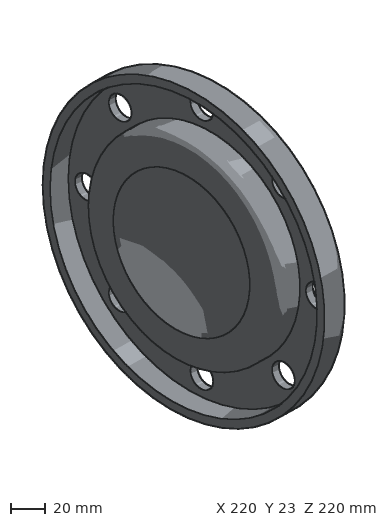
import cadquery as cq
import math

outer_radius = 110.0
rim_height = 21.3
rim_inner_radius = 104.0
back_fillet = 7.0
web_thickness = 6.0

boss_radius = 76.5
boss_height = 23.0
boss_fillet = 7.0

lip_radius = 53.2
dish_radius = 50.4
lip_depth = 1.0
dish_depth = 12.3

hole_count = 8
hole_diameter = 17.5
bolt_circle_radius = 90.0


def revolved_body():
    """Revolve the half section (radius, height above the back) about the Y axis."""
    dish_edge = boss_height - lip_depth
    dish_bottom = dish_edge - dish_depth
    sphere_radius = (dish_radius**2 + dish_depth**2) / (2 * dish_depth)
    half_angle = math.asin(dish_radius / sphere_radius) / 2
    arc_middle = (
        sphere_radius * math.sin(half_angle),
        dish_bottom + sphere_radius * (1 - math.cos(half_angle)),
    )
    profile = (
        cq.Workplane("XY")
        .lineTo(outer_radius - back_fillet, 0)
        .radiusArc((outer_radius, back_fillet), -back_fillet)
        .lineTo(outer_radius, rim_height)
        .lineTo(rim_inner_radius, rim_height)
        .lineTo(rim_inner_radius, web_thickness)
        .lineTo(boss_radius, web_thickness)
        .lineTo(boss_radius, boss_height - boss_fillet)
        .radiusArc((boss_radius - boss_fillet, boss_height), -boss_fillet)
        .lineTo(lip_radius, boss_height)
        .lineTo(dish_radius, dish_edge)
        .threePointArc(arc_middle, (0, dish_bottom))
        .close()
    )
    body = profile.revolve(360, (0, 0, 0), (0, 1, 0))
    return body.rotate((0, 0, 0), (0, 0, 1), 180)


def bolt_holes():
    """Cylinders evenly spaced on the bolt circle, passing through the web."""
    return (
        cq.Workplane("XZ")
        .polarArray(bolt_circle_radius, 0, 360, hole_count)
        .circle(hole_diameter / 2)
        .extrude(boss_height)
    )


result = revolved_body().cut(bolt_holes())